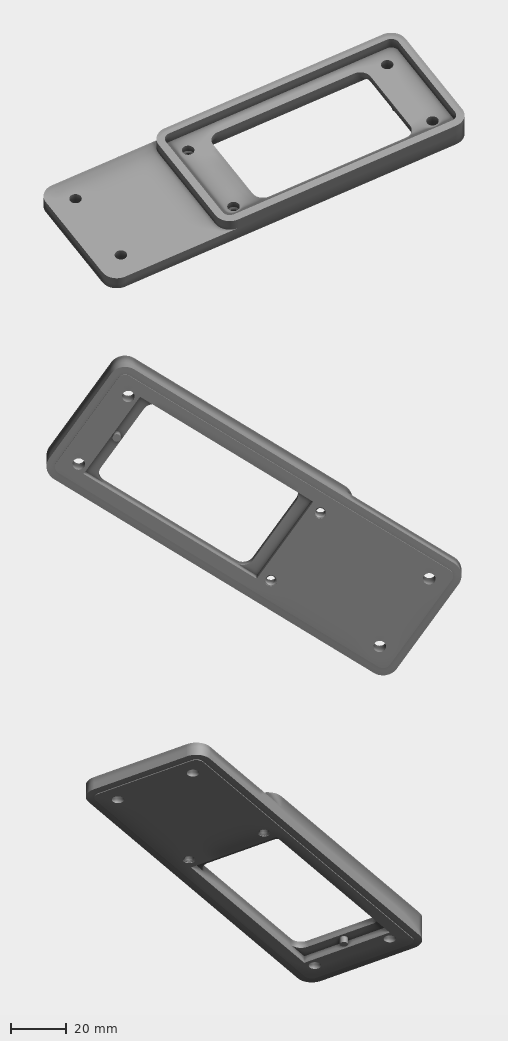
import cadquery as cq
import math

width = 52.0
length = 150.0
corner_radius = 6.0
base_height = 5.2

wall = 3.0
tray_length = 102.9
tray_height = 4.5
tray_y = (length - tray_length) / 2
inner_width = width - 2 * wall
inner_radius = corner_radius - wall

sheet_thickness = 0.3
total_height = sheet_thickness + base_height + tray_height
base_top = sheet_thickness + base_height

window_width = 36.6
window_length = 65.7
window_radius = 4.4
window_y = 24.0
floor_thickness = 2.7
slot_overhang = 4.5
slot_length = window_length + 2 * slot_overhang
floor_bottom = base_top - floor_thickness

peg_diameter = 3.0
peg_gap = 0.9
peg_y = window_y + window_length / 2 + peg_gap + peg_diameter / 2

hole_diameter = 4.5
hole_x = 16.0
end_hole_y = 65.0
nut_hole_y = -18.0

nut_sides = 6
nut_across_flats = 7.0
nut_bore = 3.2
nut_chamfer = 0.5
nut_height = floor_bottom - sheet_thickness


def rounded_block(size_x, size_y, height, radius, center_y, bottom):
    block = cq.Workplane("XY", origin=(0, center_y, bottom)).rect(size_x, size_y).extrude(height)
    return block.edges("|Z").fillet(radius)


def mirrored_points(y):
    return [(-hole_x, y), (hole_x, y)]


def slot_block():
    block = cq.Workplane("XY", origin=(0, window_y, 0)).rect(window_width, slot_length)
    return block.extrude(floor_bottom)


def screw_holes():
    points = [point for y in (end_hole_y, nut_hole_y, -end_hole_y) for point in mirrored_points(y)]
    return cq.Workplane("XY").pushPoints(points).circle(hole_diameter / 2).extrude(total_height)


def hexagon(center):
    corner_diameter = nut_across_flats / math.cos(math.pi / nut_sides)
    start = cq.Workplane("XY", origin=(*center, sheet_thickness))
    return start.polygon(nut_sides, corner_diameter).extrude(nut_height)


def make_housing():
    body = rounded_block(width, length, base_height, corner_radius, 0, sheet_thickness)
    tray = rounded_block(
        width, tray_length, base_height + tray_height, corner_radius, tray_y, sheet_thickness
    )
    recess = rounded_block(
        inner_width, tray_length - 2 * wall, tray_height, inner_radius, tray_y, base_top
    )
    window = rounded_block(window_width, window_length, total_height, window_radius, window_y, 0)
    body = body.union(tray).cut(recess).cut(window).cut(slot_block()).cut(screw_holes())
    for center in mirrored_points(nut_hole_y):
        body = body.cut(hexagon(center))
    peg = cq.Workplane("XY", origin=(0, peg_y, sheet_thickness)).circle(peg_diameter / 2)
    return body.union(peg.extrude(floor_bottom - sheet_thickness))


def make_sheet():
    cover = rounded_block(inner_width, length - 2 * wall, sheet_thickness, inner_radius, 0, 0)
    return cover.cut(slot_block()).cut(screw_holes())


def make_nut(center):
    bore = cq.Workplane("XY", origin=(*center, sheet_thickness)).circle(nut_bore / 2).extrude(nut_height)
    nut = hexagon(center).cut(bore)
    return nut.edges("%CIRCLE").chamfer(nut_chamfer)


housing = make_housing()
sheet = make_sheet()
nuts = [make_nut(center) for center in mirrored_points(nut_hole_y)]

result = cq.Compound.makeCompound([housing.val(), sheet.val(), *[nut.val() for nut in nuts]])